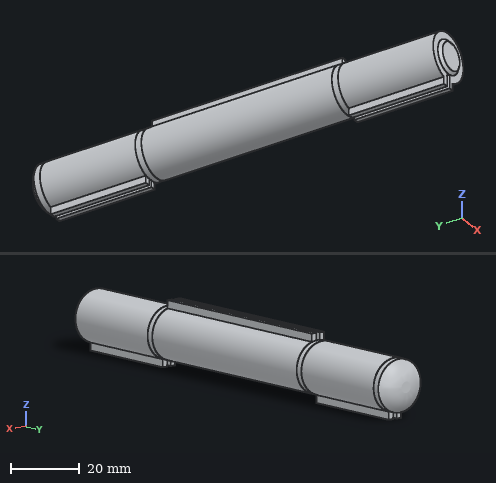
import cadquery as cq
import math

total_length = 142.5
head_end_y = total_length / 2
tail_end_y = -total_length / 2

pin_diameter = 11.1
head_diameter = 16.0
head_height = 3.0
head_face_diameter = 3.4
tail_chamfer = 1.0

washer_diameter = 16.0
washer_thickness = 2.1
washer_count = 3

collar_diameter = 16.1
tab_tip_height = 10.1
tab_thickness = 1.7
slot_width = 1.3
tail_protrusion = 1.0
collar_stack = total_length - head_height - tail_protrusion - washer_count * washer_thickness
end_collar_length = collar_stack / 4
middle_collar_length = 2 * end_collar_length


def profile_at(y_end):
    """Sketch plane across the pin axis; extrusions run from y_end toward -Y."""
    return cq.Workplane("XZ", origin=(0, y_end, 0))


def make_pin():
    """Round pin with a domed, flat-topped head and a chamfered tail."""
    pin_radius = pin_diameter / 2
    head_radius = head_diameter / 2
    head_seat_y = head_end_y - head_height
    face_radius = head_face_diameter / 2
    dome_reach = head_radius - face_radius
    dome_radius = (dome_reach**2 + head_height**2) / (2 * head_height)
    dome_half_angle = math.atan(head_height / dome_reach)
    dome_middle = (
        face_radius + dome_radius * math.sin(dome_half_angle),
        head_end_y - dome_radius * (1 - math.cos(dome_half_angle)),
    )
    return (
        cq.Workplane("XY")
        .moveTo(0, tail_end_y)
        .lineTo(pin_radius - tail_chamfer, tail_end_y)
        .lineTo(pin_radius, tail_end_y + tail_chamfer)
        .lineTo(pin_radius, head_seat_y)
        .lineTo(head_radius, head_seat_y)
        .threePointArc(dome_middle, (face_radius, head_end_y))
        .lineTo(0, head_end_y)
        .close()
        .revolve(360, (0, 0, 0), (0, 1, 0))
    )


def make_washer(y_end):
    """Plain washer whose +Y face lies at y_end."""
    return profile_at(y_end).circle(washer_diameter / 2).circle(pin_diameter / 2).extrude(washer_thickness)


def make_collar(y_end, length, direction):
    """Split collar with two tabs; direction is +1 for tabs up and -1 for tabs down."""
    tab_middle_z = direction * tab_tip_height / 2
    tabs_width = 2 * tab_thickness + slot_width
    ring = profile_at(y_end).circle(collar_diameter / 2).extrude(length)
    tabs = profile_at(y_end).center(0, tab_middle_z).rect(tabs_width, tab_tip_height).extrude(length)
    bore = profile_at(y_end).circle(pin_diameter / 2).extrude(length)
    slot = profile_at(y_end).center(0, tab_middle_z).rect(slot_width, tab_tip_height).extrude(length)
    return ring.union(tabs).cut(bore).cut(slot)


collar_layout = [
    (end_collar_length, -1),
    (middle_collar_length, 1),
    (end_collar_length, -1),
]
washers = []
collars = []
stack_y = head_end_y - head_height
for collar_length, tab_direction in collar_layout:
    washers.append(make_washer(stack_y).val())
    stack_y -= washer_thickness
    collars.append(make_collar(stack_y, collar_length, tab_direction).val())
    stack_y -= collar_length

pin = make_pin()
result = cq.Compound.makeCompound([pin.val(), *washers, *collars])